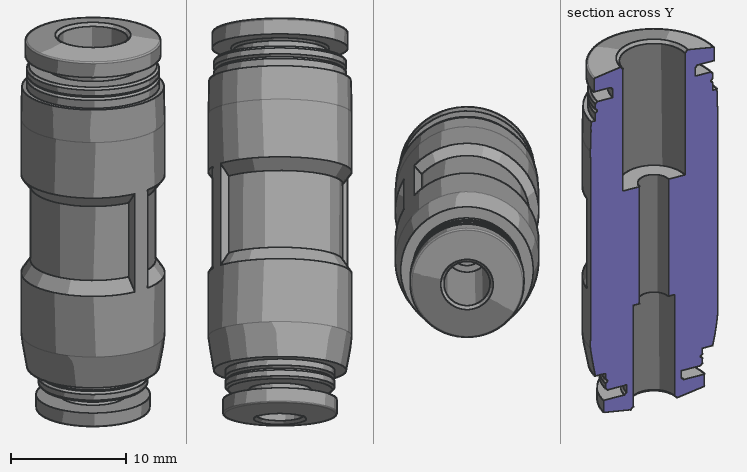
import cadquery as cq
import math

LENGTH = 34.78
BODY_R = 6.243

BODY_BOTTOM_Z = 4.3
LOWER_SHOULDER_Z = 7.35
WAIST_BOTTOM_Z = 12.9
WAIST_TOP_Z = 21.95
UPPER_SHOULDER_Z = 27.1
BODY_TOP_Z = 30.05

BODY_BOTTOM_R = 5.755
LOWER_BULGE_R = 6.05
BODY_TOP_R = 6.175
UPPER_BULGE_R = 6.23

WAIST_R = 5.443
WAIST_LOWER_SLOPE = 1.18
WAIST_UPPER_SLOPE = 1.05
RIB_WIDTH = 1.53

UPPER_COLLAR_R = 5.755
LOWER_COLLAR_R = 4.747
COLLAR_CHAMFER = 0.2
GROOVE_DEPTH = 0.2
GROOVE_HALF_WIDTH = 0.2
UPPER_COLLAR_END_Z = 31.93
LOWER_COLLAR_END_Z = 2.6
UPPER_GROOVE_Z = 31.0
LOWER_GROOVE_Z = 3.55

UPPER_NECK_R = 8.1 / 2
LOWER_NECK_R = 5.4 / 2
NECK_FLARE = 0.2
UPPER_FLANGE_R = 11.8 / 2
LOWER_FLANGE_R = 9.9 / 2
UPPER_FLANGE_Z = 32.95
LOWER_FLANGE_Z = 1.7
FACE_RISE = 0.4
FLANGE_ROUND = 0.15

THROUGH_R = 2.8 / 2
UPPER_BORE_R = 6.0 / 2
LOWER_BORE_R = 4.0 / 2
UPPER_BORE_DEPTH = 12.52
LOWER_BORE_DEPTH = 10.45
MOUTH_CHAMFER = 0.28


def revolve(profile):
    """Turn a closed half-profile, drawn as (radius, z), about the Z axis."""
    return profile.close().revolve(360, (0, 0, 0), (0, 1, 0))


def make_body():
    lower_mid_z = (BODY_BOTTOM_Z + LOWER_SHOULDER_Z) / 2
    upper_mid_z = (BODY_TOP_Z + UPPER_SHOULDER_Z) / 2
    return revolve(
        cq.Workplane("XZ")
        .moveTo(0, BODY_BOTTOM_Z)
        .lineTo(BODY_BOTTOM_R, BODY_BOTTOM_Z)
        .threePointArc((LOWER_BULGE_R, lower_mid_z), (BODY_R, LOWER_SHOULDER_Z))
        .lineTo(BODY_R, UPPER_SHOULDER_Z)
        .threePointArc((UPPER_BULGE_R, upper_mid_z), (BODY_TOP_R, BODY_TOP_Z))
        .lineTo(0, BODY_TOP_Z)
    )


def make_waist_cutter():
    clearance = 0.35
    outer_r = BODY_R + clearance
    ring = revolve(
        cq.Workplane("XZ")
        .moveTo(outer_r, WAIST_BOTTOM_Z)
        .lineTo(BODY_R, WAIST_BOTTOM_Z)
        .lineTo(WAIST_R, WAIST_BOTTOM_Z + WAIST_LOWER_SLOPE)
        .lineTo(WAIST_R, WAIST_TOP_Z - WAIST_UPPER_SLOPE)
        .lineTo(BODY_R, WAIST_TOP_Z)
        .lineTo(outer_r, WAIST_TOP_Z)
    )
    ribs = cq.Workplane("XY").box(2 * outer_r, RIB_WIDTH, LENGTH, centered=(True, True, False))
    return ring.cut(ribs)


def make_end(end_z, flange_z, flange_r, neck_r, collar_end_z, collar_r, groove_z, body_z, bore_r):
    """Button and grooved collar of one end, from the end face to the body."""
    inward = 1 if body_z > end_z else -1
    face_r = bore_r + MOUTH_CHAMFER
    round_r = flange_r - FLANGE_ROUND
    round_z = end_z + inward * (FACE_RISE + FLANGE_ROUND)
    arc_reach = FLANGE_ROUND * math.sqrt(0.5)
    return revolve(
        cq.Workplane("XZ")
        .moveTo(0, end_z)
        .lineTo(face_r, end_z)
        .lineTo(round_r, end_z + inward * FACE_RISE)
        .threePointArc((round_r + arc_reach, round_z - inward * arc_reach), (flange_r, round_z))
        .lineTo(flange_r, flange_z)
        .lineTo(neck_r + NECK_FLARE, flange_z)
        .lineTo(neck_r, flange_z + inward * NECK_FLARE)
        .lineTo(neck_r, collar_end_z)
        .lineTo(collar_r - COLLAR_CHAMFER, collar_end_z)
        .lineTo(collar_r, collar_end_z + inward * COLLAR_CHAMFER)
        .lineTo(collar_r, groove_z - inward * GROOVE_HALF_WIDTH)
        .lineTo(collar_r - GROOVE_DEPTH, groove_z)
        .lineTo(collar_r, groove_z + inward * GROOVE_HALF_WIDTH)
        .lineTo(collar_r, body_z)
        .lineTo(0, body_z)
    )


def make_bores():
    upper_mouth_r = UPPER_BORE_R + MOUTH_CHAMFER
    lower_mouth_r = LOWER_BORE_R + MOUTH_CHAMFER
    return revolve(
        cq.Workplane("XZ")
        .moveTo(0, 0)
        .lineTo(lower_mouth_r, 0)
        .lineTo(LOWER_BORE_R, MOUTH_CHAMFER)
        .lineTo(LOWER_BORE_R, LOWER_BORE_DEPTH)
        .lineTo(THROUGH_R, LOWER_BORE_DEPTH)
        .lineTo(THROUGH_R, LENGTH - UPPER_BORE_DEPTH)
        .lineTo(UPPER_BORE_R, LENGTH - UPPER_BORE_DEPTH)
        .lineTo(UPPER_BORE_R, LENGTH - MOUTH_CHAMFER)
        .lineTo(upper_mouth_r, LENGTH)
        .lineTo(0, LENGTH)
    )


upper_end = make_end(
    LENGTH, UPPER_FLANGE_Z, UPPER_FLANGE_R, UPPER_NECK_R,
    UPPER_COLLAR_END_Z, UPPER_COLLAR_R, UPPER_GROOVE_Z, BODY_TOP_Z, UPPER_BORE_R,
)
lower_end = make_end(
    0, LOWER_FLANGE_Z, LOWER_FLANGE_R, LOWER_NECK_R,
    LOWER_COLLAR_END_Z, LOWER_COLLAR_R, LOWER_GROOVE_Z, BODY_BOTTOM_Z, LOWER_BORE_R,
)
outside = make_body().cut(make_waist_cutter()).union(upper_end).union(lower_end)
result = outside.cut(make_bores())